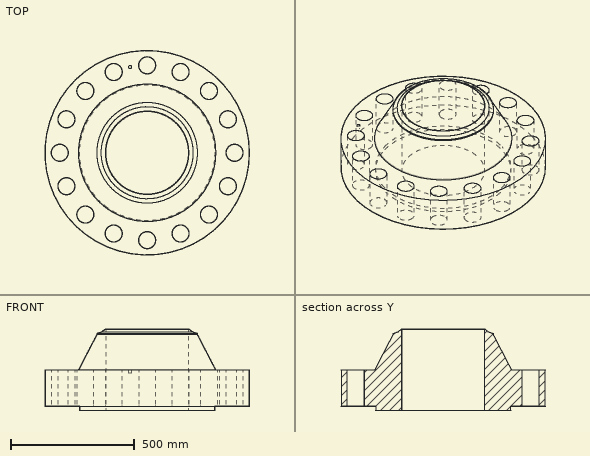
import cadquery as cq
import math

flange_diameter = 825.0
total_height = 328.5
bore_diameter = 333.0

face_height = 16.5
face_diameter = 546.0
flange_thickness = 147.0
flange_top = face_height + flange_thickness

toe_diameter = 554.5
toe_height = 2.5
hub_base_diameter = 551.0
hub_top_diameter = 406.0
hub_rim_height = 5.0

neck_slope_height = 5.0
bevel_base_diameter = 371.0
bevel_height = 12.0
land_width = 2.0
bevel_base = total_height - bevel_height
hub_rim_top = bevel_base - neck_slope_height
hub_cone_top = hub_rim_top - hub_rim_height

bolt_count = 16
bolt_circle_diameter = 705.0
bolt_hole_diameter = 68.0
bolt_pitch_angle = 360 / bolt_count
marker_diameter = 12.0
marker_depth = 12.0
marker_angle = 90 + bolt_pitch_angle / 2


def make_body():
    """Revolve the half section of the flange, hub and bore around Z."""
    bore_radius = bore_diameter / 2
    section = [
        (bore_radius, 0),
        (face_diameter / 2, 0),
        (face_diameter / 2, face_height),
        (flange_diameter / 2, face_height),
        (flange_diameter / 2, flange_top),
        (toe_diameter / 2, flange_top),
        (hub_base_diameter / 2, flange_top + toe_height),
        (hub_top_diameter / 2, hub_cone_top),
        (hub_top_diameter / 2, hub_rim_top),
        (bevel_base_diameter / 2, bevel_base),
        (bore_radius + land_width, total_height),
        (bore_radius, total_height),
    ]
    return cq.Workplane("XZ").polyline(section).close().revolve(360, (0, 0), (0, 1))


def make_bolt_holes():
    """Cylinders that cut the ring of bolt holes through the flange."""
    return (
        cq.Workplane("XY")
        .workplane(offset=face_height)
        .polarArray(bolt_circle_diameter / 2, 0, 360, bolt_count)
        .circle(bolt_hole_diameter / 2)
        .extrude(flange_thickness)
    )


def make_marker_hole():
    """Cylinder that cuts the blind marker hole into the top of the flange."""
    angle = math.radians(marker_angle)
    radius = bolt_circle_diameter / 2
    return (
        cq.Workplane("XY")
        .workplane(offset=flange_top - marker_depth)
        .center(radius * math.cos(angle), radius * math.sin(angle))
        .circle(marker_diameter / 2)
        .extrude(marker_depth)
    )


result = make_body().cut(make_bolt_holes()).cut(make_marker_hole())